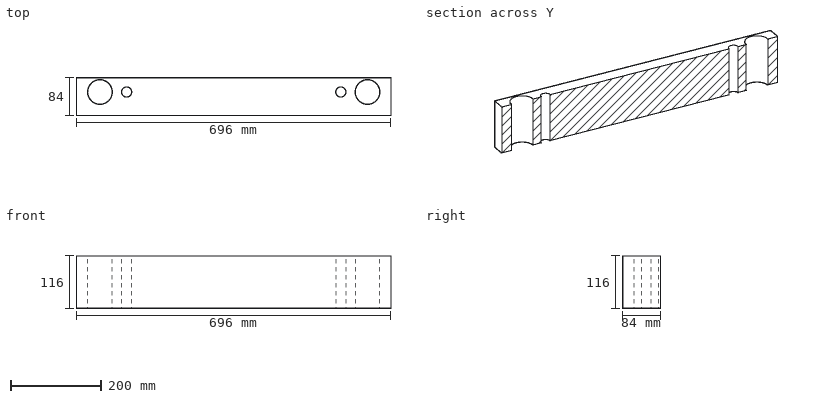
import cadquery as cq

length = 696.0
width = 84.0
height = 116.0

hole_to_back_face = 32.0
hole_line_y = width / 2 - hole_to_back_face
large_hole_diameter = 54.0
large_hole_spacing = 592.0
small_hole_diameter = 22.0
small_hole_spacing = 474.0


def drill_pair(body, diameter, spacing):
    """Drill two through holes along Z, a given distance apart along X."""
    centers = [(side * spacing / 2, hole_line_y) for side in (-1, 1)]
    top_plane = body.faces(">Z").workplane(origin=(0, 0, 0))
    return top_plane.pushPoints(centers).hole(diameter)


bar = cq.Workplane("XY").box(length, width, height)
bar = drill_pair(bar, large_hole_diameter, large_hole_spacing)
bar = drill_pair(bar, small_hole_diameter, small_hole_spacing)

result = bar